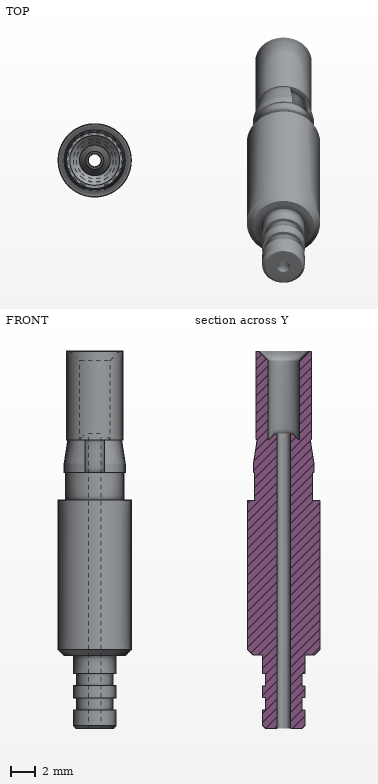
import cadquery as cq

total_length = 30.95
tail_chamfer_top = 0.25
lower_groove_bottom = 1.55
lower_groove_top = 2.55
upper_groove_bottom = 3.53
upper_groove_top = 4.52
body_bottom = 6.0
body_chamfer_top = 6.5
body_top = 18.72
collar_bottom = 20.98
collar_top = 21.7
socket_bottom = 23.68

tail_end_diameter = 3.0
tail_diameter = 3.5
groove_diameter = 3.0
body_chamfer_diameter = 5.0
body_diameter = 6.0
shoulder_diameter = 4.8
collar_diameter = 5.0
cone_top_diameter = 4.4
socket_diameter = 4.6

mouth_diameter = 4.1
bore_diameter = 2.5
bore_depth = 7.27
nozzle_tip_diameter = 1.5
through_diameter = 1.05

slot_width = 1.6
slot_core_diameter = 3.6


def revolve_profile(stations):
    """Revolve a list of (diameter, height) corners, closed on the Z axis."""
    bottom = stations[0][1]
    top = stations[-1][1]
    corners = [(diameter / 2, height) for diameter, height in stations]
    outline = [(0, bottom)] + corners + [(0, top)]
    return cq.Workplane("XZ").polyline(outline).close().revolve(360, (0, 0, 0), (0, 1, 0))


def outer_shape():
    return revolve_profile([
        (tail_end_diameter, 0),
        (tail_diameter, tail_chamfer_top),
        (tail_diameter, lower_groove_bottom),
        (groove_diameter, lower_groove_bottom),
        (groove_diameter, lower_groove_top),
        (tail_diameter, lower_groove_top),
        (tail_diameter, upper_groove_bottom),
        (groove_diameter, upper_groove_bottom),
        (groove_diameter, upper_groove_top),
        (tail_diameter, upper_groove_top),
        (tail_diameter, body_bottom),
        (body_chamfer_diameter, body_bottom),
        (body_diameter, body_chamfer_top),
        (body_diameter, body_top),
        (shoulder_diameter, body_top),
        (shoulder_diameter, collar_bottom),
        (collar_diameter, collar_bottom),
        (collar_diameter, collar_top),
        (cone_top_diameter, socket_bottom),
        (socket_diameter, socket_bottom),
        (socket_diameter, total_length),
    ])


def axial_hole():
    mouth_bottom = total_length - (mouth_diameter - bore_diameter) / 2
    bore_bottom = total_length - bore_depth
    nozzle_tip = bore_bottom + (bore_diameter - nozzle_tip_diameter) / 2
    return revolve_profile([
        (through_diameter, 0),
        (through_diameter, nozzle_tip),
        (nozzle_tip_diameter, nozzle_tip),
        (bore_diameter, bore_bottom),
        (bore_diameter, mouth_bottom),
        (mouth_diameter, total_length),
    ])


def collar_slot():
    slot_height = socket_bottom - collar_bottom
    slot_length = collar_diameter
    base = cq.Workplane("XY", origin=(0, 0, collar_bottom))
    block = base.center(0, -slot_length / 2).rect(slot_width, slot_length).extrude(slot_height)
    core = base.circle(slot_core_diameter / 2).extrude(slot_height)
    return block.cut(core)


result = outer_shape().cut(axial_hole()).cut(collar_slot())